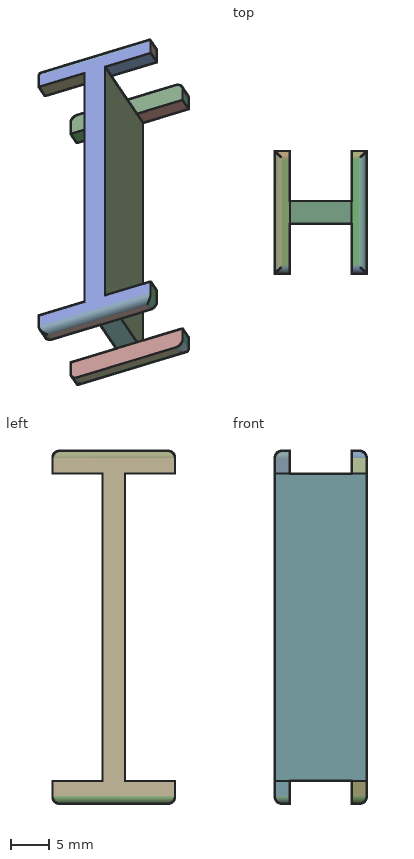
import cadquery as cq

WIDTH = 12.0
DEPTH = 16.0
HEIGHT = 46.0

RAIL_WIDTH = 2.0
RAIL_HEIGHT = 3.0
RAIL_ROUNDING = 1.0
WEB_THICKNESS = 3.0

web_height = HEIGHT - 2 * RAIL_HEIGHT
rail_x = (WIDTH - RAIL_WIDTH) / 2


def make_top_right_rail():
    """Rail on the +X, +Z side; its inner top edge stays sharp."""
    rail = cq.Workplane("XY").box(RAIL_WIDTH, DEPTH, RAIL_HEIGHT)
    rounded_edges = rail.faces(">Z").edges(">X or >Y or <Y")
    return rounded_edges.fillet(RAIL_ROUNDING).translate((rail_x, 0, (HEIGHT - RAIL_HEIGHT) / 2))


result = cq.Workplane("XY").box(WIDTH, WEB_THICKNESS, web_height)

right_top = make_top_right_rail()
for top_rail in (right_top, right_top.mirror("YZ")):
    for rail in (top_rail, top_rail.mirror("XY")):
        result = result.union(rail)